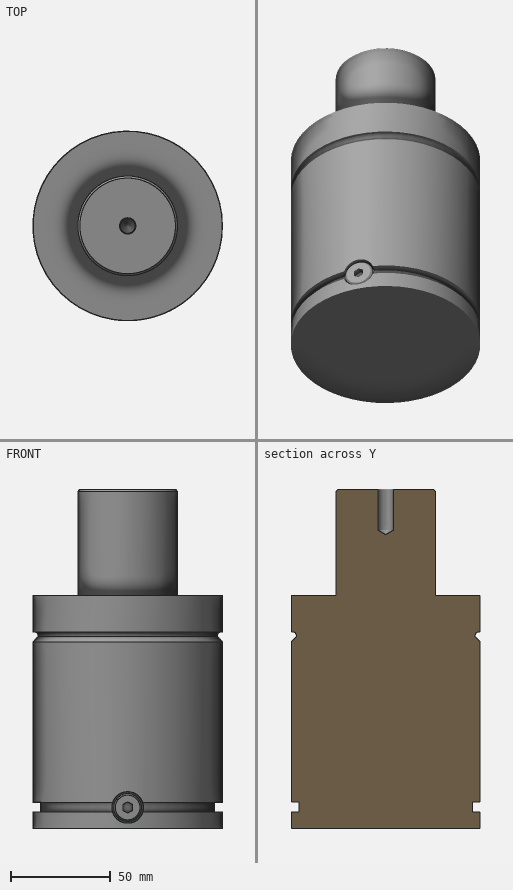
import cadquery as cq
import math

total_height = 170.0
body_radius = 95.0 / 2
body_height = 116.8

rod_radius = 50.0 / 2
rod_chamfer = 1.0

upper_groove_top = 98.5
upper_groove_waist = 96.2
upper_groove_bottom = 93.5
upper_groove_depth = 2.5
upper_groove_lip_depth = 1.4
upper_groove_arc_radius = 2.0

lower_groove_bottom = 8.3
lower_groove_top = 13.1
lower_groove_depth = 3.9

plug_height = 10.5
recess_radius = 15.8 / 2
recess_depth = 6.8
plug_radius = 14.0 / 2
plug_face_setback = 0.7
plug_chamfer = 0.76
hex_across_flats = 5.0
hex_depth = 3.4

hole_radius = 7.5 / 2
hole_mouth_radius = 8.2 / 2
hole_depth = 20.4
drill_point_angle = 118.0


def make_body():
    """Revolve the body, its two grooves and the rod as one outline."""
    waist_radius = body_radius - upper_groove_depth
    lip_radius = body_radius - upper_groove_lip_depth
    lower_groove_radius = body_radius - lower_groove_depth
    outline = (
        cq.Workplane("XZ")
        .lineTo(body_radius, 0)
        .lineTo(body_radius, lower_groove_bottom)
        .lineTo(lower_groove_radius, lower_groove_bottom)
        .lineTo(lower_groove_radius, lower_groove_top)
        .lineTo(body_radius, lower_groove_top)
        .lineTo(body_radius, upper_groove_bottom)
        .lineTo(waist_radius, upper_groove_waist)
        .radiusArc((lip_radius, upper_groove_top), upper_groove_arc_radius)
        .lineTo(body_radius, upper_groove_top)
        .lineTo(body_radius, body_height)
        .lineTo(rod_radius, body_height)
        .lineTo(rod_radius, total_height - rod_chamfer)
        .lineTo(rod_radius - rod_chamfer, total_height)
        .lineTo(0, total_height)
        .close()
    )
    return outline.revolve(360, (0, 0, 0), (0, 1, 0))


def make_rod_hole():
    """Drilled hole with a 45 degree mouth and a conical bottom."""
    mouth_depth = hole_mouth_radius - hole_radius
    point_depth = hole_radius / math.tan(math.radians(drill_point_angle / 2))
    outline = (
        cq.Workplane("XZ")
        .moveTo(0, total_height)
        .lineTo(hole_mouth_radius, total_height)
        .lineTo(hole_radius, total_height - mouth_depth)
        .lineTo(hole_radius, total_height - hole_depth)
        .lineTo(0, total_height - hole_depth - point_depth)
        .close()
    )
    return outline.revolve(360, (0, 0, 0), (0, 1, 0))


def plug_plane(setback):
    """Plane facing -Y on the plug axis, set back from the body's outermost line."""
    origin = (0, setback - body_radius, plug_height)
    return cq.Workplane("XZ", origin=origin)


def make_plug():
    """Plug with a chamfered face and a hexagon socket, two corners along Z."""
    plug = plug_plane(plug_face_setback).circle(plug_radius).extrude(plug_face_setback - recess_depth)
    plug = plug.faces("<Y").chamfer(plug_chamfer)
    hex_diameter = hex_across_flats / math.cos(math.pi / 6)
    socket = (
        plug_plane(plug_face_setback)
        .transformed(rotate=(0, 0, 90))
        .polygon(6, hex_diameter)
        .extrude(-hex_depth)
    )
    return plug.cut(socket)


recess = plug_plane(0).circle(recess_radius).extrude(-recess_depth)
result = make_body().cut(make_rod_hole()).cut(recess).union(make_plug())